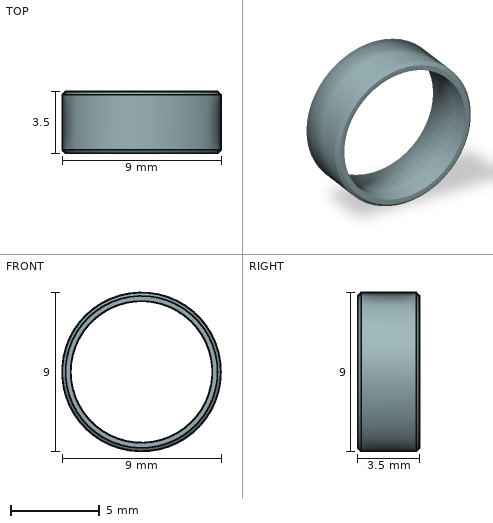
import cadquery as cq

outer_diameter = 9.0
bore_diameter = 8.0
width = 3.5
chamfer = 0.2

disc = cq.Workplane("XZ", origin=(0, width / 2, 0)).circle(outer_diameter / 2).extrude(width)

chamfered_disc = disc.faces("<Y or >Y").edges().chamfer(chamfer)

result = chamfered_disc.faces("<Y").workplane(centerOption="CenterOfBoundBox").hole(bore_diameter)